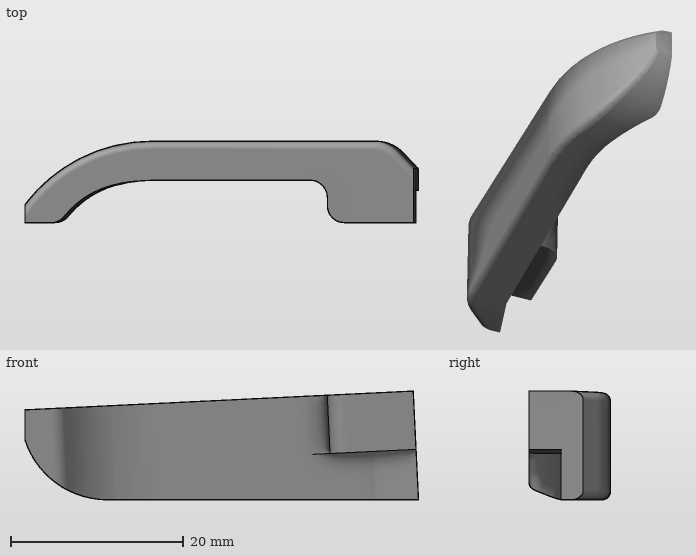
import cadquery as cq
import math

depth = 9.5
height_left = 10.48
tilt = 2.77
top_length = 45.22
stock_height = 16.0

wall_front = 4.93
outer_start = 14.8
outer_radius = 18.6
inner_start = 14.4
inner_knee = 10.0
inner_radius = 16.5
toe_radius = 10.5
toe_round = 1.95
lead = 1.0

shoulder_angle = math.radians(46.5)
shoulder_radius = 4.4
shoulder_start = 40.3
relief_length = 5.1
relief_depth = 1.17

foot_left = 35.2
foot_height = 6.8
foot_round = 2.0

nose_radius = 10.1
nose_center_x = 9.6
edge_round = 1.0


def on_circle(center, radius, angle):
    """Point on a circle, with the angle measured from +Y (positive towards +X)."""
    return (center[0] + radius * math.sin(angle), center[1] + radius * math.cos(angle))


def wall_outline():
    """Wall seen along the tilted axis: left bend, straight run, shoulder, slanted relief."""
    outer_center = (outer_start, depth - outer_radius)
    outer_end = -math.asin((outer_start + lead) / outer_radius)
    shoulder_center = (shoulder_start, depth - shoulder_radius)
    shoulder_end = on_circle(shoulder_center, shoulder_radius, shoulder_angle)
    shoulder_drop = (top_length - shoulder_end[0]) * math.tan(shoulder_angle)

    inner_center = (inner_start, wall_front - inner_radius)
    knee_angle = -math.asin((inner_start - inner_knee) / inner_radius)
    toe_center = on_circle(inner_center, inner_radius - toe_radius, knee_angle)
    toe_end = -math.acos(-toe_center[1] / toe_radius)

    return (
        cq.Workplane("XY")
        .moveTo(-lead, 0)
        .lineTo(*on_circle(outer_center, outer_radius, outer_end))
        .threePointArc(on_circle(outer_center, outer_radius, outer_end / 2), (outer_start, depth))
        .lineTo(shoulder_start, depth)
        .threePointArc(on_circle(shoulder_center, shoulder_radius, shoulder_angle / 2), shoulder_end)
        .lineTo(top_length, shoulder_end[1] - shoulder_drop)
        .lineTo(top_length, wall_front - relief_depth)
        .lineTo(top_length - relief_length, wall_front)
        .lineTo(inner_start, wall_front)
        .threePointArc(
            on_circle(inner_center, inner_radius, knee_angle / 2),
            on_circle(inner_center, inner_radius, knee_angle),
        )
        .threePointArc(
            on_circle(toe_center, toe_radius, (knee_angle + toe_end) / 2),
            on_circle(toe_center, toe_radius, toe_end),
        )
        .close()
    )


def make_wall():
    wall = wall_outline().extrude(-stock_height)
    toe_edge = wall.faces("<Y").edges("|Z").edges(">X")
    return toe_edge.fillet(toe_round)


def make_foot():
    """Block in front of the wall, with an outside round and a fillet into the wall."""
    quarter = math.pi / 2
    round_center = (foot_left + foot_round, foot_round)
    fillet_center = (foot_left - foot_round, wall_front - foot_round)
    back = wall_front + relief_depth
    return (
        cq.Workplane("XY")
        .moveTo(top_length, 0)
        .lineTo(round_center[0], 0)
        .threePointArc(on_circle(round_center, foot_round, -1.5 * quarter), (foot_left, foot_round))
        .lineTo(foot_left, fillet_center[1])
        .threePointArc(
            on_circle(fillet_center, foot_round, 0.5 * quarter),
            (fillet_center[0], wall_front),
        )
        .lineTo(fillet_center[0], back)
        .lineTo(top_length, back)
        .close()
        .extrude(-foot_height)
    )


def side_outline():
    """Upright left end, nose arc and flat bottom, extruded across the full depth."""
    nose_center = (nose_center_x, nose_radius)
    nose_sweep = math.asin(nose_center_x / nose_radius)
    far = top_length + stock_height
    return (
        cq.Workplane("XZ")
        .moveTo(0, stock_height)
        .lineTo(*on_circle(nose_center, nose_radius, math.pi + nose_sweep))
        .threePointArc(
            on_circle(nose_center, nose_radius, math.pi + nose_sweep / 2),
            (nose_center_x, 0),
        )
        .lineTo(far, 0)
        .lineTo(far, stock_height)
        .close()
        .extrude(-depth)
    )


tilted = make_wall().union(make_foot()).rotate((0, 0, 0), (0, 1, 0), -tilt)
body = tilted.translate((0, 0, height_left)).intersect(side_outline())

back_edges = body.faces(">Y").edges(">Z or <Z")
result = back_edges.fillet(edge_round)